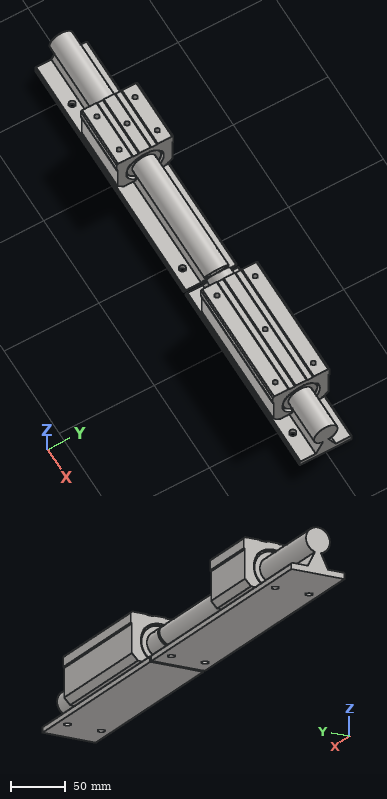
import cadquery as cq
import math

rail_length = 479.0
total_height = 60.0

shaft_diameter = 25.0
shaft_height = 33.0
base_width = 55.0
base_thickness = 6.0
base_chamfer = 1.0
web_foot_half_width = 10.5
web_overlap = 2.5
web_slope = 0.5
rail_hole_diameter = 6.5
rail_hole_spacing_y = 35.0
rail_hole_rows = 3
rail_hole_pitch = 199.7
first_rail_hole = 50.0

gap_width = 3.0
gap_foot_x = 30.5
gap_angle = 21.0

carriage_width = 60.0
carriage_bottom = 13.0
short_carriage_length = 65.0
short_carriage_x = -120.0
short_hole_spacing_x = 40.0
long_carriage_length = 130.5
long_carriage_x = 130.0
long_hole_spacing_x = 105.5
side_step_height = 49.0
side_step_depth = 1.0
top_chamfer = 1.5
bottom_chamfer = 6.0
opening_clearance = 3.0
recess_inner_y = 5.7
recess_outer_y = 13.5
recess_depth = 0.7
recess_wall_run = 1.0
mount_hole_diameter = 5.0
mount_hole_depth = 12.0
mount_hole_spacing_y = 40.0
bearing_diameter = 39.8
bearing_recess = 2.0
bearing_chamfer = 2.0

shaft_radius = shaft_diameter / 2
half_base = base_width / 2
half_carriage = carriage_width / 2
web_top = shaft_height - shaft_radius + web_overlap


def web_half_width(z):
    """Half width of the tapering web at height z."""
    return web_foot_half_width - web_slope * (z - base_thickness)


def mirrored_profile(half_points):
    """Closed YZ profile from its +Y half, given from top to bottom or bottom to top."""
    other_half = [(-y, z) for y, z in reversed(half_points)]
    return cq.Workplane("YZ").polyline(half_points + other_half).close()


def along_x(profile, length, center_x=0.0):
    """Extrude a YZ profile along X, centred on center_x."""
    return profile.extrude(length / 2, both=True).translate((center_x, 0, 0))


def shaft_cylinder(length, center_x=0.0):
    """The shaft over a stretch of the given length; it also shapes the carriage bore."""
    circle = cq.Workplane("YZ").center(0, shaft_height).circle(shaft_radius)
    return along_x(circle, length, center_x)


def full_rail():
    """The undivided rail: base, tapering web and shaft, with the mounting holes."""
    support_half = [
        (half_base, 0),
        (half_base, base_thickness - base_chamfer),
        (half_base - base_chamfer, base_thickness),
        (web_foot_half_width, base_thickness),
        (web_half_width(web_top), web_top),
    ]
    rail = along_x(mirrored_profile(support_half), rail_length).union(shaft_cylinder(rail_length))
    hole_points = [
        (first_rail_hole - rail_length / 2 + i * rail_hole_pitch, side * rail_hole_spacing_y / 2)
        for i in range(rail_hole_rows)
        for side in (-1, 1)
    ]
    holes = cq.Workplane("XY").pushPoints(hole_points).circle(rail_hole_diameter / 2)
    return rail.cut(holes.extrude(base_thickness))


def rail_piece(side):
    """The part of the rail on one side of the slanted gap: -1 for left, 1 for right."""
    foot_x = gap_foot_x + side * gap_width / 2
    head_x = foot_x + total_height * math.tan(math.radians(gap_angle))
    end_x = side * rail_length / 2
    keep = (
        cq.Workplane("XZ")
        .polyline([(foot_x, 0), (head_x, total_height), (end_x, total_height), (end_x, 0)])
        .close()
        .extrude(half_base, both=True)
    )
    return full_rail().intersect(keep)


def bearing_end_recess():
    """Round recess about the X axis, opening at X = 0 and deepest along its rim."""
    radius = bearing_diameter / 2
    half_section = [
        (0, 0),
        (0, radius),
        (bearing_recess + bearing_chamfer, radius),
        (bearing_recess, radius - bearing_chamfer),
        (bearing_recess, 0),
    ]
    return cq.Workplane("XY").polyline(half_section).close().revolve(360, (0, 0), (1, 0))


def carriage(length, center_x, hole_spacing_x):
    """A carriage that wraps round the shaft and is open below for the web."""
    side_y = half_carriage - side_step_depth
    body_half = [
        (recess_inner_y, total_height),
        (recess_inner_y + recess_wall_run, total_height - recess_depth),
        (recess_outer_y - recess_wall_run, total_height - recess_depth),
        (recess_outer_y, total_height),
        (half_carriage - top_chamfer, total_height),
        (half_carriage, total_height - top_chamfer),
        (half_carriage, side_step_height),
        (side_y, side_step_height - side_step_depth),
        (side_y, carriage_bottom + bottom_chamfer),
        (side_y - bottom_chamfer, carriage_bottom),
    ]
    body = along_x(mirrored_profile(body_half), length, center_x)

    opening_half = [
        (web_half_width(z) + opening_clearance, z)
        for z in (web_top, carriage_bottom)
    ]
    body = body.cut(along_x(mirrored_profile(opening_half), length, center_x))
    body = body.cut(shaft_cylinder(length, center_x))

    left_recess = bearing_end_recess().translate((-length / 2, 0, shaft_height))
    for end_recess in (left_recess, left_recess.mirror("YZ")):
        body = body.cut(end_recess.translate((center_x, 0, 0)))

    top = cq.Workplane("XY", origin=(center_x, 0, total_height))
    mount_holes = top.rect(hole_spacing_x, mount_hole_spacing_y, forConstruction=True).vertices()
    body = body.cut(mount_holes.circle(mount_hole_diameter / 2).extrude(-mount_hole_depth))
    lubrication_hole = top.circle(mount_hole_diameter / 2)
    return body.cut(lubrication_hole.extrude(shaft_height - total_height))


rail_pieces = [rail_piece(side).val() for side in (-1, 1)]
carriages = [
    carriage(length, center_x, hole_spacing_x).val()
    for length, center_x, hole_spacing_x in (
        (short_carriage_length, short_carriage_x, short_hole_spacing_x),
        (long_carriage_length, long_carriage_x, long_hole_spacing_x),
    )
]

result = cq.Compound.makeCompound([*rail_pieces, *carriages])